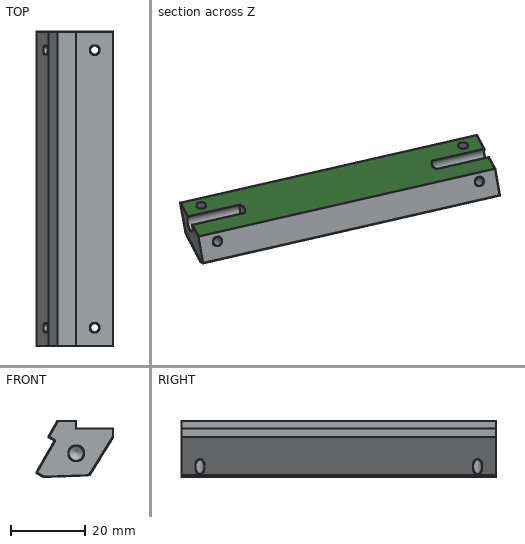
import cadquery as cq
import math

length = 85.0
width = 20.77
height = 15.16

rib_top_width = 5.0
step_height = 2.0
ledge_width = 10.0
right_wall_height = 2.3

flank_angle = math.radians(60.0)
rib_flank_length = 5.0
corner_cut_length = 2.3

underside_right_x = 2.8
underside_rise = 0.4
right_cut_x = 3.65
right_cut_z = 0.6

cross_hole_diameter = 2.5
end_margin = 5.0
ledge_hole_x = ledge_width / 2
flank_hole_z = 5.5
bore_diameter = 4.2
bore_depth = 15.0
bore_z = 6.4
drill_tip_angle = math.radians(118.0)

down_x, down_z = -math.cos(flank_angle), -math.sin(flank_angle)
inward_x, inward_z = math.sin(flank_angle), -math.cos(flank_angle)

left_x = ledge_width - width
left_z = -corner_cut_length * inward_z

hole_y_positions = (-length / 2 + end_margin, length / 2 - end_margin)
drill_reach = width + 2 * height


def notch_depth(rib_corner_x, rib_corner_z):
    """Distance from the rib flank to the main flank, measured square to both."""
    return (left_x - rib_corner_x) * inward_x + (left_z - rib_corner_z) * inward_z


def make_bar():
    rib_corner_x = -rib_top_width + rib_flank_length * down_x
    rib_corner_z = height + rib_flank_length * down_z
    depth = notch_depth(rib_corner_x, rib_corner_z)
    ledge_z = height - step_height
    outline = [
        (-rib_top_width, height),
        (0, height),
        (0, ledge_z),
        (ledge_width, ledge_z),
        (ledge_width, ledge_z - right_wall_height),
        (right_cut_x, right_cut_z),
        (underside_right_x, underside_rise),
        (left_x + corner_cut_length * inward_x, 0),
        (left_x, left_z),
        (rib_corner_x + depth * inward_x, rib_corner_z + depth * inward_z),
        (rib_corner_x, rib_corner_z),
    ]
    return cq.Workplane("XZ").polyline(outline).close().extrude(length / 2, both=True)


def make_ledge_hole(y):
    """Vertical hole right through the bar."""
    start = cq.Vector(ledge_hole_x, y, -height)
    return cq.Solid.makeCylinder(cross_hole_diameter / 2, drill_reach, start, cq.Vector(0, 0, 1))


def make_flank_hole(y):
    """Hole square to the left flank, right through to the underside."""
    flank_hole_x = left_x + (flank_hole_z - left_z) / math.tan(flank_angle)
    start = cq.Vector(flank_hole_x - inward_x, y, flank_hole_z - inward_z)
    direction = cq.Vector(inward_x, 0, inward_z)
    return cq.Solid.makeCylinder(cross_hole_diameter / 2, drill_reach, start, direction)


def make_end_bore(side):
    """Blind bore with a conical drill tip, entering the end at +Y (side = 1) or -Y (side = -1)."""
    radius = bore_diameter / 2
    tip_length = radius / math.tan(drill_tip_angle / 2)
    inward = cq.Vector(0, -side, 0)
    mouth = cq.Vector(0, side * length / 2, bore_z)
    shank = cq.Solid.makeCylinder(radius, bore_depth, mouth, inward)
    tip = cq.Solid.makeCone(radius, 0, tip_length, mouth + inward * bore_depth, inward)
    return shank.fuse(tip)


result = make_bar()
for hole_y in hole_y_positions:
    result = result.cut(cq.Workplane(make_ledge_hole(hole_y)))
    result = result.cut(cq.Workplane(make_flank_hole(hole_y)))
for end_side in (-1, 1):
    result = result.cut(cq.Workplane(make_end_bore(end_side)))